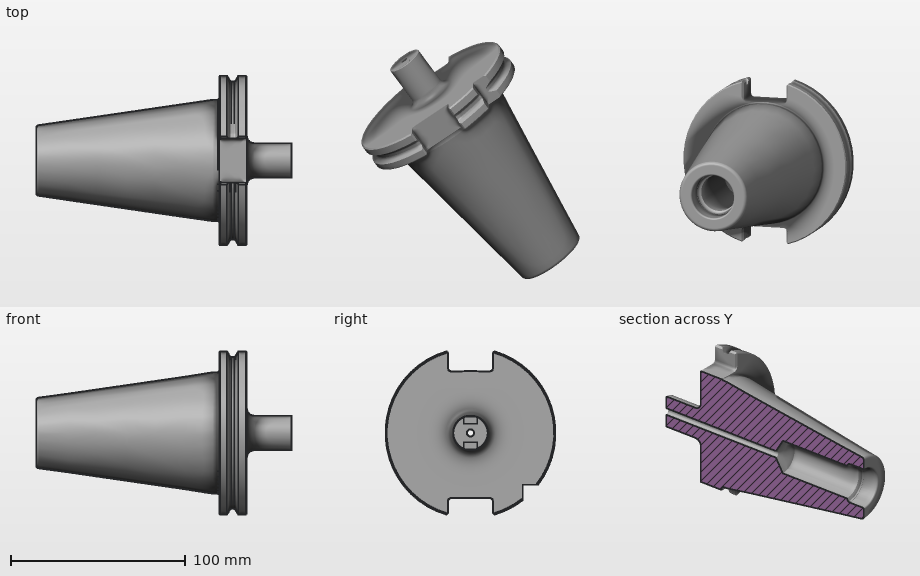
import cadquery as cq
import math


gauge_radius = 69.85 / 2
taper_length = 101.75
taper_slope = 7 / 48
nose_radius = gauge_radius - taper_slope * taper_length
nose_fillet = 2.0

flange_front = 3.2
flange_back = 19.1
flange_radius = 97.5 / 2
neck_fillet = 0.8
rim_chamfer_front = 0.6
rim_chamfer_back = 0.8

groove_center = 10.9
groove_floor_radius = 90.8 / 2
groove_floor_width = 2.8
groove_half_angle = math.radians(30)
groove_fillet = 0.9

spigot_radius = 10.0
spigot_length = 25.6
spigot_fillet = 4.0
spigot_chamfer = 0.2
spigot_end = flange_back + spigot_length

pad_height = 0.15
pad_width = 7.8
pad_inner_z = 5.3
pad_outer_z = 9.3

counterbore_radius = 12.5
counterbore_depth = 10.5
mouth_fillet = 1.0
relief_radius = 12.3
relief_length = 1.0
bore_radius = 10.5
bore_depth = 60.0
drill_half_angle = math.radians(59)
through_radius = 2.0

slot_width = 25.6
slot_corner_radius = 2.0
slot_chamfer = 1.0
upper_slot_floor = 35.3
lower_slot_floor = 37.3

notch_y = 30.0
notch_z = -29.8

cut_margin = 5.0
tolerance = 1e-4


def revolve_about_axis(points):
    """Turn an (x, radius) outline around the X axis."""
    return cq.Workplane("XY").polyline(points).close().revolve(360, (0, 0, 0), (1, 0, 0))


def ring_edges(body, x, radius):
    """Select the circular edges of the given radius at position x."""
    def is_ring(edge):
        if edge.geomType() != "CIRCLE":
            return False
        return abs(edge.Center().x - x) < tolerance and abs(edge.radius() - radius) < tolerance
    return body.edges().filter(is_ring)


def make_body():
    half_floor = groove_floor_width / 2
    flank_run = (flange_radius - groove_floor_radius) * math.tan(groove_half_angle)
    half_mouth = half_floor + flank_run
    body = revolve_about_axis([
        (-taper_length, 0),
        (-taper_length, nose_radius),
        (0, gauge_radius),
        (flange_front, gauge_radius),
        (flange_front, flange_radius),
        (groove_center - half_mouth, flange_radius),
        (groove_center - half_floor, groove_floor_radius),
        (groove_center + half_floor, groove_floor_radius),
        (groove_center + half_mouth, flange_radius),
        (flange_back, flange_radius),
        (flange_back, spigot_radius),
        (spigot_end, spigot_radius),
        (spigot_end, 0),
    ])
    fillets = [
        (-taper_length, nose_radius, nose_fillet),
        (flange_front, gauge_radius, neck_fillet),
        (groove_center - half_floor, groove_floor_radius, groove_fillet),
        (groove_center + half_floor, groove_floor_radius, groove_fillet),
        (flange_back, spigot_radius, spigot_fillet),
    ]
    for x, radius, size in fillets:
        body = ring_edges(body, x, radius).fillet(size)
    chamfers = [
        (flange_front, flange_radius, rim_chamfer_front),
        (flange_back, flange_radius, rim_chamfer_back),
        (spigot_end, spigot_radius, spigot_chamfer),
    ]
    for x, radius, size in chamfers:
        body = ring_edges(body, x, radius).chamfer(size)
    return body


def make_bore():
    nose = -taper_length
    relief_end = nose + counterbore_depth + relief_length
    cone_length = (relief_radius - bore_radius) / math.tan(drill_half_angle)
    tip_length = (bore_radius - through_radius) / math.tan(drill_half_angle)
    mouth_radius = counterbore_radius + mouth_fillet
    outline = (
        cq.Workplane("XY")
        .moveTo(nose, 0)
        .lineTo(nose, mouth_radius)
        .radiusArc((nose + mouth_fillet, counterbore_radius), -mouth_fillet)
        .lineTo(nose + counterbore_depth, counterbore_radius)
        .lineTo(nose + counterbore_depth, relief_radius)
        .lineTo(relief_end, relief_radius)
        .lineTo(relief_end + cone_length, bore_radius)
        .lineTo(nose + bore_depth, bore_radius)
        .lineTo(nose + bore_depth + tip_length, through_radius)
        .lineTo(spigot_end, through_radius)
        .lineTo(spigot_end, 0)
        .close()
    )
    return outline.revolve(360, (0, 0, 0), (1, 0, 0))


def make_pads():
    pad_center = (pad_inner_z + pad_outer_z) / 2
    end_face = cq.Workplane("YZ", origin=(spigot_end, 0, 0))
    pads = (
        end_face
        .pushPoints([(0, pad_center), (0, -pad_center)])
        .rect(pad_width, pad_outer_z - pad_inner_z)
        .extrude(pad_height)
    )
    return pads.intersect(end_face.circle(spigot_radius - spigot_chamfer).extrude(pad_height))


def slot_wire(workplane, floor, widening):
    """Draw a U-shaped slot outline with rounded floor corners, widened on both sides."""
    half = slot_width / 2 + widening
    corner = slot_corner_radius + widening
    top = flange_radius + cut_margin
    return (
        workplane.moveTo(-half, top)
        .lineTo(-half, floor + corner)
        .radiusArc((-half + corner, floor), -corner)
        .lineTo(half - corner, floor)
        .radiusArc((half, floor + corner), -corner)
        .lineTo(half, top)
        .close()
    )


def make_slot(floor):
    """Cutter for a slot on the +Z side, with its front and outer edges chamfered."""
    front = cq.Workplane("YZ", origin=(flange_front, 0, 0))
    width = flange_back - flange_front
    slot = slot_wire(front, floor, 0).extrude(width)

    front_bevel = slot_wire(front, floor, slot_chamfer)
    front_bevel = slot_wire(front_bevel.workplane(offset=slot_chamfer), floor, 0).loft(ruled=True)

    wall = slot_width / 2
    bevel_outer = wall + slot_chamfer
    bevel_top = math.sqrt(flange_radius**2 - bevel_outer**2)
    outer_bevel = (
        front.moveTo(-bevel_outer, bevel_top)
        .lineTo(-wall, bevel_top - slot_chamfer)
        .lineTo(wall, bevel_top - slot_chamfer)
        .lineTo(bevel_outer, bevel_top)
        .lineTo(bevel_outer, flange_radius + cut_margin)
        .lineTo(-bevel_outer, flange_radius + cut_margin)
        .close()
        .extrude(width)
    )
    return slot.union(front_bevel).union(outer_bevel)


def make_notch():
    """Cutter for the square orientation notch on the +Y, -Z side of the flange."""
    return (
        cq.Workplane("YZ", origin=(flange_front, 0, 0))
        .moveTo(notch_y, notch_z)
        .lineTo(flange_radius, notch_z)
        .lineTo(flange_radius, -flange_radius)
        .lineTo(notch_y, -flange_radius)
        .close()
        .extrude(flange_back - flange_front)
    )


upper_slot = make_slot(upper_slot_floor)
lower_slot = make_slot(lower_slot_floor).rotate((0, 0, 0), (1, 0, 0), 180)

result = make_body().union(make_pads())
for cutter in (make_bore(), upper_slot, lower_slot, make_notch()):
    result = result.cut(cutter)